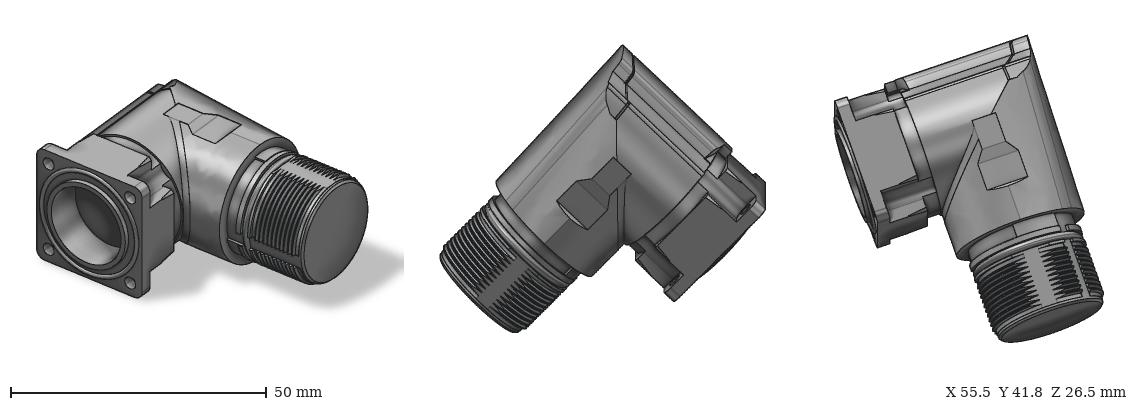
import cadquery as cq
import math


REAR_X = -15.05
TIP_X = 40.45
BARREL_RADIUS = 26.5 / 2
BARREL_END_X = 21.85
INNER_BARREL_RADIUS = 13.15
LEG_RADIUS = 13.0
LEG_END_Y = -13.25
TAB_HALF = 1.4

CORE_RADIUS = 10.8
RING_RADIUS = 11.5
ROOT_RADIUS = 10.95
RING_START_X = 24.6
SEAL_START_X = 25.75
SEAL_END_X = 27.5
SEAL_RADIUS = 11.3
RIB_END_X = 28.1
ROOT_END_X = 39.5
PITCH = 1.0
THREAD_START_X = 29.3
RIDGE_COUNT = 10
TIP_CHAMFER = 0.45
FLAT_HEIGHT = 10.8

NECK_RADIUS = 12.55
BLOCK_START_Y = -16.15
FLANGE_START_Y = -23.9
FLANGE_FACE_Y = -26.5
BOSS_FACE_Y = -27.55
FLANGE_HALF = 12.95
CORNER_RADIUS = 1.95
HOLE_OFFSET = 10.0
HOLE_RADIUS = 1.35
BOSS_RADIUS = 9.6
BORE_RADIUS = 8.55
BORE_DEPTH = 7.8
FACE_SEAL_RADIUS = 11.65
FACE_SEAL_THICKNESS = 1.0
NOTCH_EDGE = 7.45
NOTCH_FILLET = 3.05
RELIEF_END_Y = -20.0
RELIEF_WIDE = 0.65
RELIEF_NARROW = 0.15

BIG = 111.0


def cylinder_x(radius, start, end):
    return cq.Workplane("YZ", origin=(start, 0, 0)).circle(radius).extrude(end - start)


def cylinder_y(radius, start, end):
    return cq.Workplane("XZ", origin=(0, start, 0)).circle(radius).extrude(start - end)


def box_between(x, y, z):
    size = (x[1] - x[0], y[1] - y[0], z[1] - z[0])
    corner = cq.Vector(x[0], y[0], z[0])
    return cq.Workplane("XY").box(*size, centered=False).translate(corner)


def barrel_section(x, apex, crown, crown_mid, side, side_mid, joint):
    """Closed YZ outline: back arc, two rounded shoulders, two sides and the round front.
    Points are (y, z) on the upper half; the lower half mirrors them."""
    def low(point):
        return (point[0], -point[1])

    return (
        cq.Workplane("YZ", origin=(x, 0, 0))
        .moveTo(*low(crown))
        .threePointArc((apex, 0), crown)
        .threePointArc(crown_mid, side)
        .threePointArc(side_mid, joint)
        .threePointArc((-BARREL_RADIUS, 0), low(joint))
        .threePointArc(low(side_mid), low(side))
        .threePointArc(low(crown_mid), low(crown))
        .close()
        .wire()
        .val()
    )


def on_barrel(degrees):
    """Point (y, z) on the round barrel end, measured from +Y towards +Z."""
    angle = math.radians(degrees)
    return (BARREL_RADIUS * math.cos(angle), BARREL_RADIUS * math.sin(angle))


def barrel():
    rear = barrel_section(
        REAR_X,
        apex=14.25,
        crown=(13.0, 10.1),
        crown_mid=(12.15, 11.15),
        side=(10.9, 11.65),
        side_mid=(6.1, 12.55),
        joint=(0, 13.2),
    )
    front = barrel_section(
        BARREL_END_X,
        apex=BARREL_RADIUS,
        crown=on_barrel(37),
        crown_mid=on_barrel(43),
        side=on_barrel(49),
        side_mid=on_barrel(68),
        joint=on_barrel(90),
    )
    return cq.Workplane(cq.Solid.makeLoft([rear, front], True))


def leg_outline(start_y):
    """Round leg with a rounded bead on each side and a raised spine at the rear."""
    step = (-8.7, math.sqrt(LEG_RADIUS**2 - 8.7**2))
    bead = (-9.25, 9.25)
    step_foot = (-9.4, 8.55)
    spine_foot = (-11.25, 6.7)
    spine_side = (-13.05, 6.3)
    spine_crown = (-14.15, 5.2)
    spine_round = (-13.75, 5.95)

    def low(point):
        return (point[0], -point[1])

    return (
        cq.Workplane("XZ", origin=(0, start_y, 0))
        .moveTo(*step)
        .threePointArc((LEG_RADIUS, 0), low(step))
        .threePointArc(low(bead), low(step_foot))
        .lineTo(*low(spine_foot))
        .lineTo(*low(spine_side))
        .threePointArc(low(spine_round), low(spine_crown))
        .threePointArc((REAR_X, 0), spine_crown)
        .threePointArc(spine_round, spine_side)
        .lineTo(*spine_foot)
        .lineTo(*step_foot)
        .threePointArc(bead, step)
        .close()
    )


LEG_TOP_Y = 16.65
LEG_LENGTH = LEG_TOP_Y - LEG_END_Y


def housing():
    barrel_body = barrel()
    leg = leg_outline(LEG_TOP_Y).extrude(LEG_LENGTH)
    upper = leg.intersect(barrel_body)
    lower = leg.intersect(box_between((-BIG, BIG), (-BIG, 0), (-BIG, BIG)))
    mitre = 1.5
    mitre_top = 7.1
    above_mitre = (
        cq.Workplane("XY", origin=(0, 0, -BIG))
        .polyline([
            (mitre + BIG, -BIG), (BIG, BIG), (mitre - mitre_top, BIG), (mitre - mitre_top, mitre_top),
        ])
        .close()
        .extrude(2 * BIG)
    )
    core = cylinder_x(INNER_BARREL_RADIUS, 0, BARREL_END_X)
    return barrel_body.intersect(above_mitre).union(core).union(upper).union(lower)


def spine_end_cut():
    """Removes the lower end of the spine outside a bowed edge, leaving the end tab."""
    outer_z = 6.7
    outer_y = -11.55
    bow = (-12.6, 4.15)
    cut = None
    for side in (1, -1):
        piece = (
            cq.Workplane("YZ", origin=(REAR_X - 0.55, 0, 0))
            .moveTo(LEG_END_Y, side * TAB_HALF)
            .threePointArc((bow[0], side * bow[1]), (outer_y, side * outer_z))
            .lineTo(LEG_END_Y - 0.55, side * outer_z)
            .lineTo(LEG_END_Y - 0.55, side * TAB_HALF)
            .close()
            .extrude(BIG)
        )
        cut = piece if cut is None else cut.union(piece)
    return cut.cut(cylinder_y(LEG_RADIUS, 0, -BIG))


def end_tab():
    """Middle of the spine, carried on below the leg."""
    inner_x = -13.05
    end_y = -15.4
    spine = leg_outline(LEG_END_Y).extrude(LEG_END_Y - end_y)
    return spine.intersect(box_between((-BIG, inner_x), (-BIG, 0), (-TAB_HALF, TAB_HALF)))


def cap_seam():
    """Shallow groove that runs around the rear cap."""
    width = 0.45
    depth = 0.3
    reach_x = -5.6
    clear_z = 16.65
    level_y, level_z = 7.45, 9.15
    shoulder_y, shoulder_z = 10.2, 6.65
    crest_y = 11.9
    outline = (
        cq.Workplane("YZ", origin=(REAR_X - 0.55, 0, 0))
        .moveTo(level_y, -clear_z)
        .lineTo(level_y, -level_z)
        .lineTo(shoulder_y, -shoulder_z)
        .threePointArc((crest_y, 0), (shoulder_y, shoulder_z))
        .lineTo(level_y, level_z)
        .lineTo(level_y, clear_z)
        .lineTo(level_y - width, clear_z)
        .lineTo(level_y - width, level_z)
        .lineTo(shoulder_y - width, shoulder_z)
        .threePointArc((crest_y - width, 0), (shoulder_y - width, -shoulder_z))
        .lineTo(level_y - width, -level_z)
        .lineTo(level_y - width, -clear_z)
        .close()
    )
    band = outline.extrude(reach_x - REAR_X + 0.55)
    inside = leg_outline(LEG_TOP_Y).offset2D(-depth).extrude(LEG_LENGTH)
    return band.cut(inside)


def wrench_flats():
    """Pocket on the top and bottom of the barrel: narrow flat, ramp, wide deep flat."""
    narrow_half, wide_half = 2.45, 4.2
    narrow_end, wide_start, wide_end, runout = 6.05, 8.5, 14.05, 14.7
    narrow_z = math.sqrt(INNER_BARREL_RADIUS**2 - narrow_half**2)
    wide_z = math.sqrt(BARREL_RADIUS**2 - wide_half**2)
    clear_z = BARREL_RADIUS + 0.55
    slope = (BARREL_RADIUS - wide_z) / (runout - wide_end)
    profile = (
        cq.Workplane("XZ", origin=(0, wide_half + 0.55, 0))
        .polyline([
            (0, narrow_z), (narrow_end, narrow_z), (wide_start, wide_z), (wide_end, wide_z),
            (wide_end + (clear_z - wide_z) / slope, clear_z), (0, clear_z),
        ])
        .close()
        .extrude(2 * (wide_half + 0.55))
    )
    plan = (
        cq.Workplane("XY")
        .polyline([
            (0, narrow_half), (narrow_end, narrow_half), (wide_start, wide_half), (BARREL_END_X, wide_half),
            (BARREL_END_X, -wide_half), (wide_start, -wide_half), (narrow_end, -narrow_half),
            (0, -narrow_half),
        ])
        .close()
        .extrude(clear_z)
    )
    pocket = profile.intersect(plan)
    return pocket.union(pocket.mirror("XY"))


KEYWAYS = [(-9.4, 3.2), (134.0, 2.35)]
KEY_BLOCKS = [(-42.5, -17.0), (81.5, 128.0)]
BLOCK_RADIUS = 11.3


def keyway(angle, width):
    slot = box_between((BARREL_END_X, BIG), (-BIG, 0), (-width / 2, width / 2))
    return slot.rotate((0, 0, 0), (1, 0, 0), -angle)


def key_block(start, end):
    """Raised sector between the housing and the front ring."""
    def at(degrees):
        angle = math.radians(degrees)
        reach = 2 * RING_RADIUS
        return (-reach * math.cos(angle), reach * math.sin(angle))

    sector = (
        cq.Workplane("YZ", origin=(BARREL_END_X, 0, 0))
        .polyline([(0, 0), at(start), at((start + end) / 2), at(end)])
        .close()
        .extrude(SEAL_START_X - BARREL_END_X)
    )
    return sector.intersect(cylinder_x(BLOCK_RADIUS, BARREL_END_X, SEAL_START_X))


def thread_sleeve():
    """Root cylinder with the rib and the thread ridges turned in one outline."""
    half_base = 0.45
    half_crest = 0.1
    outline = [
        (SEAL_END_X, 0),
        (SEAL_END_X, RING_RADIUS),
        (RIB_END_X, RING_RADIUS),
        (RIB_END_X, ROOT_RADIUS),
    ]
    for index in range(RIDGE_COUNT):
        crest_x = THREAD_START_X + index * PITCH
        outline += [
            (crest_x - half_base, ROOT_RADIUS), (crest_x - half_crest, RING_RADIUS),
            (crest_x + half_crest, RING_RADIUS), (crest_x + half_base, ROOT_RADIUS),
        ]
    outline += [(ROOT_END_X, ROOT_RADIUS), (ROOT_END_X, 0)]
    sleeve = cq.Workplane("XY").polyline(outline).close().revolve(360, (0, 0, 0), (1, 0, 0))
    return sleeve.intersect(box_between((0, BIG), (-BIG, BIG), (-FLAT_HEIGHT, FLAT_HEIGHT)))


def plug():
    core = cylinder_x(CORE_RADIUS, 0, TIP_X).faces(">X").chamfer(TIP_CHAMFER)
    collars = cylinder_x(RING_RADIUS, RING_START_X, SEAL_START_X).union(thread_sleeve())
    for angle, width in KEYWAYS:
        collars = collars.cut(keyway(angle, width))
    body = core.union(collars)
    for start, end in KEY_BLOCKS:
        body = body.union(key_block(start, end))
    seal_half = (SEAL_END_X - SEAL_START_X) / 2
    seal = cq.Solid.makeTorus(
        SEAL_RADIUS - seal_half, seal_half, cq.Vector(SEAL_START_X + seal_half, 0, 0), cq.Vector(1, 0, 0)
    )
    return body.union(cq.Workplane(seal))


def square_plate(start, end):
    return (
        cq.Workplane("XZ", origin=(0, start, 0))
        .rect(2 * FLANGE_HALF, 2 * FLANGE_HALF)
        .extrude(start - end)
        .edges("|Y")
        .fillet(CORNER_RADIUS)
    )


def corner_notch():
    """Screw clearance in the (+X, +Z) corner, from the housing down to the flange."""
    notch = box_between(
        (NOTCH_EDGE, 2 * FLANGE_HALF), (FLANGE_START_Y, LEG_END_Y), (NOTCH_EDGE, 2 * FLANGE_HALF)
    )
    notch = notch.edges("|Y and <X and <Z").fillet(NOTCH_FILLET)
    top, bottom = [
        cq.Workplane("XZ", origin=(0, y, 0))
        .polyline([
            (NOTCH_EDGE, FLANGE_HALF), (NOTCH_EDGE - leg, FLANGE_HALF), (NOTCH_EDGE, FLANGE_HALF - leg),
        ])
        .close()
        .wire()
        .val()
        for y, leg in ((BLOCK_START_Y, RELIEF_WIDE), (RELIEF_END_Y, RELIEF_NARROW))
    ]
    bevel = cq.Workplane(cq.Solid.makeLoft([top, bottom], True))
    twin = bevel.rotate((0, 0, 0), (1, 0, 1), 180).mirror("XZ")
    return notch.union(bevel).union(twin)


def flange_end():
    body = cylinder_y(NECK_RADIUS, 0, FLANGE_START_Y)
    body = body.union(square_plate(BLOCK_START_Y, FLANGE_FACE_Y))
    notch = corner_notch()
    for quarter in range(4):
        body = body.cut(notch.rotate((0, 0, 0), (0, 1, 0), 90 * quarter))
    boss = cylinder_y(BOSS_RADIUS, FLANGE_FACE_Y, BOSS_FACE_Y)
    seal = cq.Solid.makeTorus(
        FACE_SEAL_RADIUS, FACE_SEAL_THICKNESS / 2, cq.Vector(0, FLANGE_FACE_Y, 0), cq.Vector(0, 1, 0)
    )
    holes = (
        cq.Workplane("XZ", origin=(0, FLANGE_START_Y, 0))
        .rect(2 * HOLE_OFFSET, 2 * HOLE_OFFSET, forConstruction=True)
        .vertices()
        .circle(HOLE_RADIUS)
        .extrude(FLANGE_START_Y - FLANGE_FACE_Y)
    )
    return body.union(boss).union(cq.Workplane(seal)).cut(holes)


shell = housing().cut(spine_end_cut()).union(end_tab()).cut(cap_seam()).cut(wrench_flats())
bore = cylinder_y(BORE_RADIUS, BOSS_FACE_Y + BORE_DEPTH, BOSS_FACE_Y)
result = shell.union(plug()).union(flange_end()).cut(bore)